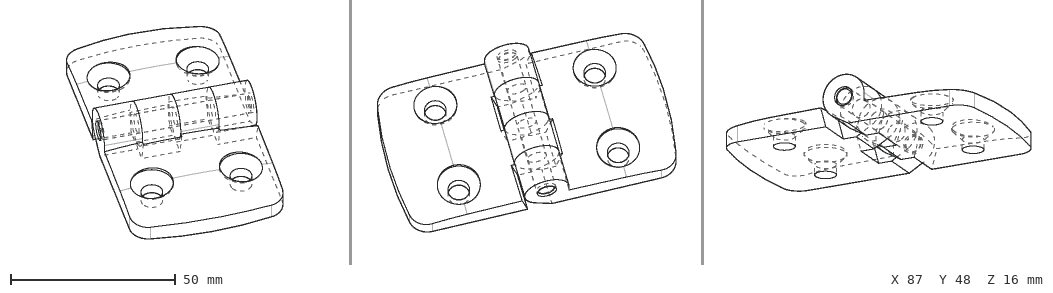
import cadquery as cq
import math

LENGTH = 87.0
WIDTH = 48.0
HALF_LENGTH = LENGTH / 2
HALF_WIDTH = WIDTH / 2

END_RADIUS = 108.75
CORNER_RADIUS = 6.0

RAMP_TOP = 8.0
RAMP_SLOPE = 0.018
END_CROWN_RADIUS = 95.7
CROSS_CROWN_RADIUS = 200.1

SCREW_X = 25.0
SCREW_SPACING = 28.0
SCREW_DIAMETER = 6.6
SINK_DIAMETER = 13.05
SINK_TOP = 6.5
SINK_DEPTH = (SINK_DIAMETER - SCREW_DIAMETER) / 2

KNUCKLE_COUNT = 4
KNUCKLE_LENGTH = WIDTH / KNUCKLE_COUNT
BARREL_RADIUS = 7.0
AXIS_HEIGHT = 9.0
UNDERSIDE_ANGLE = math.radians(30)
LEAF_TIP = 6.0
POCKET_ANGLE = math.radians(15)

PIN_DIAMETER = 5.9
PIN_BORE = 6.0
PIN_RECESS = 0.5
PIN_CHAMFER = 0.5


def cylinder_along_y(diameter, length):
    """Cylinder on the hinge axis, centred on the hinge width."""
    return (
        cq.Workplane("XZ", origin=(0, length / 2, AXIS_HEIGHT))
        .circle(diameter / 2)
        .extrude(length)
    )


def make_outline():
    """Vertical-walled prism of the left leaf in plan, taller than the crown."""
    end_sag = END_RADIUS - math.sqrt(END_RADIUS**2 - HALF_WIDTH**2)
    corner_x = -HALF_LENGTH + end_sag
    return (
        cq.Workplane("XY")
        .moveTo(-LEAF_TIP, -HALF_WIDTH)
        .lineTo(-LEAF_TIP, HALF_WIDTH)
        .lineTo(corner_x, HALF_WIDTH)
        .threePointArc((-HALF_LENGTH, 0), (corner_x, -HALF_WIDTH))
        .close()
        .extrude(AXIS_HEIGHT)
        .edges("|Z")
        .edges("<X")
        .fillet(CORNER_RADIUS)
    )


def make_crown():
    """Body of revolution whose skin is the crowned top of the left leaf."""
    ramp_angle = math.atan(RAMP_SLOPE)
    ramp_end_z = RAMP_TOP - RAMP_SLOPE * SCREW_X
    arc_center_x = -SCREW_X + END_CROWN_RADIUS * math.sin(ramp_angle)
    arc_center_z = ramp_end_z - END_CROWN_RADIUS * math.cos(ramp_angle)

    def arc_point(x):
        return x, arc_center_z + math.sqrt(END_CROWN_RADIUS**2 - (x - arc_center_x) ** 2)

    revolve_axis_z = RAMP_TOP - CROSS_CROWN_RADIUS
    return (
        cq.Workplane("XZ")
        .moveTo(0, revolve_axis_z)
        .lineTo(0, RAMP_TOP)
        .lineTo(-SCREW_X, ramp_end_z)
        .threePointArc(arc_point(-(SCREW_X + HALF_LENGTH) / 2), arc_point(-HALF_LENGTH))
        .lineTo(-HALF_LENGTH, revolve_axis_z)
        .close()
        .revolve(360, (0, revolve_axis_z), (1, revolve_axis_z))
    )


def make_knuckle(y_start):
    """Barrel segment of the left leaf with the web that joins it to the plate."""
    sin_a = math.sin(UNDERSIDE_ANGLE)
    cos_a = math.cos(UNDERSIDE_ANGLE)
    tangent_point = (BARREL_RADIUS * sin_a, AXIS_HEIGHT - BARREL_RADIUS * cos_a)
    underside_foot_x = tangent_point[0] - tangent_point[1] * cos_a / sin_a
    arc_middle = (BARREL_RADIUS * cos_a, AXIS_HEIGHT + BARREL_RADIUS * sin_a)
    return (
        cq.Workplane("XZ", origin=(0, y_start, 0))
        .moveTo(-BARREL_RADIUS, 0)
        .lineTo(-BARREL_RADIUS, AXIS_HEIGHT)
        .threePointArc(arc_middle, tangent_point)
        .lineTo(underside_foot_x, 0)
        .close()
        .extrude(-KNUCKLE_LENGTH)
    )


def make_pocket(y_start):
    """Cutter that clears the plate for a knuckle of the other leaf."""
    wall_top_x = -LEAF_TIP - AXIS_HEIGHT * math.tan(POCKET_ANGLE)
    return (
        cq.Workplane("XZ", origin=(0, y_start, 0))
        .moveTo(-LEAF_TIP, 0)
        .lineTo(wall_top_x, AXIS_HEIGHT)
        .lineTo(0, AXIS_HEIGHT)
        .lineTo(0, 0)
        .close()
        .extrude(-KNUCKLE_LENGTH)
    )


def make_screw_hole(y):
    """Cutter: through hole, 90 degree cone and a straight rim up to the crown."""
    return (
        cq.Workplane("XZ", origin=(-SCREW_X, y, 0))
        .lineTo(SCREW_DIAMETER / 2, 0)
        .lineTo(SCREW_DIAMETER / 2, SINK_TOP - SINK_DEPTH)
        .lineTo(SINK_DIAMETER / 2, SINK_TOP)
        .lineTo(SINK_DIAMETER / 2, AXIS_HEIGHT)
        .lineTo(0, AXIS_HEIGHT)
        .close()
        .revolve(360, (0, 0), (0, 1))
    )


def make_leaf():
    """Left leaf, with pockets and knuckles alternating from the -Y end."""
    leaf = make_outline().intersect(make_crown())
    for index in range(KNUCKLE_COUNT):
        y_start = -HALF_WIDTH + index * KNUCKLE_LENGTH
        if index % 2 == 0:
            leaf = leaf.cut(make_pocket(y_start))
        else:
            leaf = leaf.union(make_knuckle(y_start))
    for y in (-SCREW_SPACING / 2, SCREW_SPACING / 2):
        leaf = leaf.cut(make_screw_hole(y))
    return leaf.cut(cylinder_along_y(PIN_BORE, WIDTH))


def make_pin():
    """Hinge pin with both ends chamfered."""
    pin = cylinder_along_y(PIN_DIAMETER, WIDTH - 2 * PIN_RECESS)
    return pin.faces("<Y or >Y").chamfer(PIN_CHAMFER)


leaves = [make_leaf().rotate((0, 0, 0), (0, 0, 1), turn) for turn in (0, 180)]
pin = make_pin()

result = cq.Compound.makeCompound([*(leaf.solids().val() for leaf in leaves), pin.solids().val()])